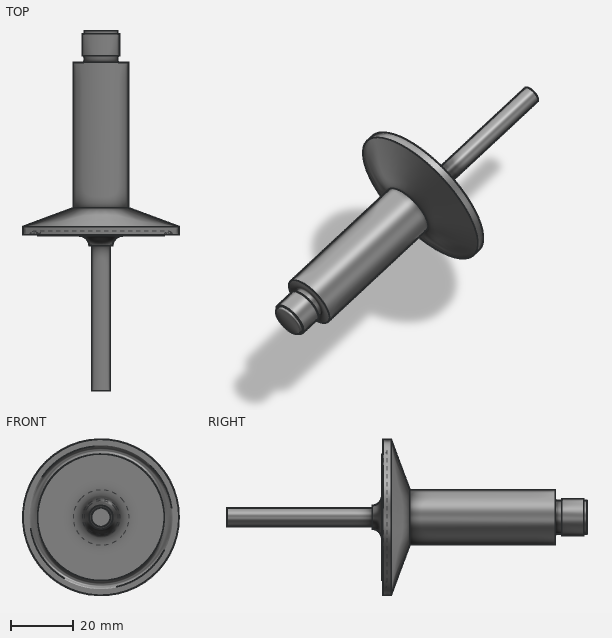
import cadquery as cq
import math

total_length = 116.0

probe_radius = 3.0
root_radius = 3.8
body_radius = 8.9
neck_radius = 5.5
nut_radius = 6.0
flange_radius = 25.2

probe_length = 46.8
root_fillet = 3.1
face_step = 0.3
rim_thickness = 2.7
cone_height = 6.0
body_length = 46.9
neck_length = 2.1
neck_fillet = 0.3
end_fillet = 0.3
nut_length = 7.1

groove_inner_radius = 20.4
groove_outer_radius = 23.0
groove_depth = 1.3
groove_edge_fillet = 0.2

face_y = 0.0
root_y = face_y - root_fillet
tip_y = root_y - probe_length
rim_y = face_y + face_step
cone_y = rim_y + rim_thickness
body_y = cone_y + cone_height
neck_y = body_y + body_length
nut_y = neck_y + neck_length
nut_end_y = nut_y + nut_length
end_y = tip_y + total_length


def make_turned_body():
    """Revolve the half profile, with a concave fillet where the probe meets the flange."""
    fillet_outer_radius = root_radius + root_fillet
    fillet_inset = root_fillet * (1 - math.sqrt(0.5))
    profile = (
        cq.Workplane("XY")
        .moveTo(0, tip_y)
        .lineTo(probe_radius, tip_y)
        .lineTo(probe_radius, root_y)
        .lineTo(root_radius, root_y)
        .threePointArc(
            (root_radius + fillet_inset, face_y - fillet_inset),
            (fillet_outer_radius, face_y),
        )
        .lineTo(groove_inner_radius, face_y)
        .threePointArc(
            ((groove_inner_radius + groove_outer_radius) / 2, rim_y + groove_depth),
            (groove_outer_radius, rim_y),
        )
        .lineTo(flange_radius, rim_y)
        .lineTo(flange_radius, cone_y)
        .lineTo(body_radius, body_y)
        .lineTo(body_radius, neck_y)
        .lineTo(neck_radius, neck_y)
        .lineTo(neck_radius, nut_y)
        .lineTo(nut_radius, nut_y)
        .lineTo(nut_radius, nut_end_y)
        .lineTo(neck_radius, nut_end_y)
        .lineTo(neck_radius, end_y)
        .lineTo(0, end_y)
        .close()
    )
    return profile.revolve(360, (0, 0, 0), (0, 1, 0))


def fillet_ring(body, radius, y, fillet_radius):
    """Round the circular edge that has the given radius and lies at the given station."""
    tolerance = 0.001
    ring = body.edges("%CIRCLE").filter(
        lambda edge: abs(edge.radius() - radius) < tolerance
        and abs(edge.Center().y - y) < tolerance
    )
    return ring.fillet(fillet_radius)


result = make_turned_body()
result = fillet_ring(result, groove_inner_radius, face_y, groove_edge_fillet)
result = fillet_ring(result, groove_outer_radius, rim_y, groove_edge_fillet)
result = fillet_ring(result, neck_radius, neck_y, neck_fillet)
result = fillet_ring(result, neck_radius, nut_y, neck_fillet)
result = fillet_ring(result, neck_radius, end_y, end_fillet)